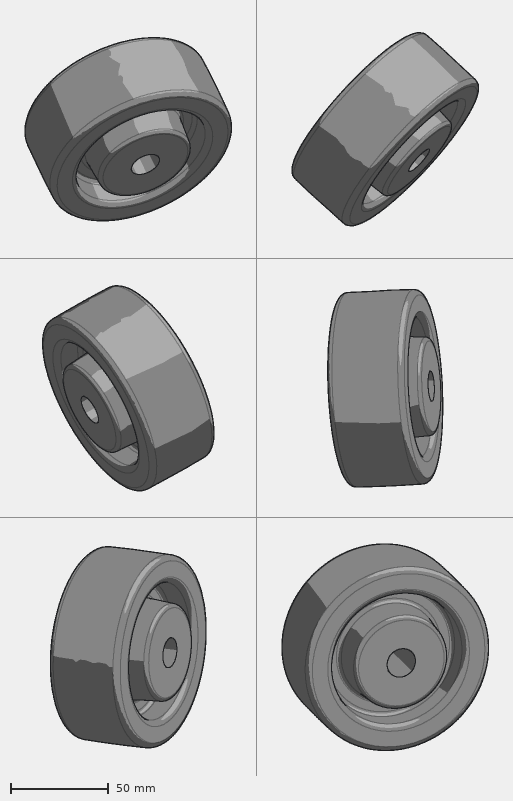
import cadquery as cq

wheel_radius = 50.0
hub_length = 48.0
rim_width = 40.0
bore_radius = 7.7

shoulder_radius = 49.7
shoulder_fillet = 2.9

web_thickness = 10.0
hub_tip_radius = 25.1
hub_root_radius = 26.5
recess_mouth_radius = 35.6
recess_floor_radius = 35.1
hub_tip_fillet = 2.0
recess_root_fillet = 2.0
recess_mouth_fillet = 3.0

half_hub = hub_length / 2
half_rim = rim_width / 2
half_web = web_thickness / 2


def revolve_about_x(profile):
    """Turn an (axial, radial) profile fully about the X axis."""
    return profile.close().revolve(360, (0, 0, 0), (1, 0, 0))


def make_blank():
    """Hub and crowned rim joined by a solid disc, bored through."""
    profile = (
        cq.Workplane("XY")
        .moveTo(-half_hub, bore_radius)
        .lineTo(-half_hub, hub_tip_radius)
        .lineTo(-half_web, hub_root_radius)
        .lineTo(-half_web, recess_floor_radius)
        .lineTo(-half_rim, recess_mouth_radius)
        .lineTo(-half_rim, shoulder_radius)
        .threePointArc((0, wheel_radius), (half_rim, shoulder_radius))
        .lineTo(half_rim, recess_mouth_radius)
        .lineTo(half_web, recess_floor_radius)
        .lineTo(half_web, hub_root_radius)
        .lineTo(half_hub, hub_tip_radius)
        .lineTo(half_hub, bore_radius)
    )
    return revolve_about_x(profile)


def fillet_rings(body, axial, radial, fillet):
    """Round the circular edges at the same place on both sides of the wheel."""
    margin = 0.1
    for side in (-1, 1):
        x = side * axial
        reach = radial + margin
        inner = radial - margin
        outer_box = cq.selectors.BoxSelector(
            (x - margin, -reach, -reach), (x + margin, reach, reach), boundingbox=True
        )
        inner_box = cq.selectors.BoxSelector(
            (x - margin, -inner, -inner), (x + margin, inner, inner), boundingbox=True
        )
        body = body.edges(outer_box - inner_box).fillet(fillet)
    return body


result = make_blank()
result = fillet_rings(result, half_rim, shoulder_radius, shoulder_fillet)
result = fillet_rings(result, half_rim, recess_mouth_radius, recess_mouth_fillet)
result = fillet_rings(result, half_web, recess_floor_radius, recess_root_fillet)
result = fillet_rings(result, half_web, hub_root_radius, recess_root_fillet)
result = fillet_rings(result, half_hub, hub_tip_radius, hub_tip_fillet)